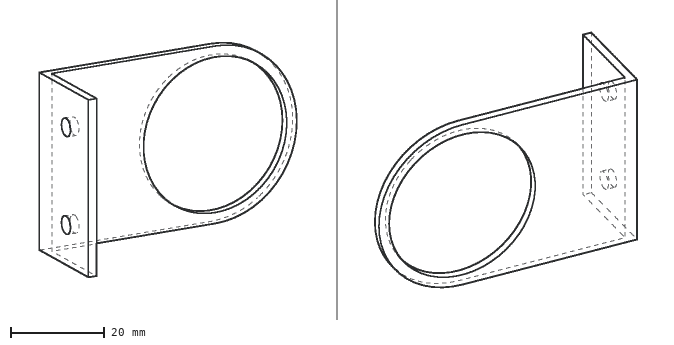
import cadquery as cq

length = 62.0
flange_width = 22.0
height = 40.0
thickness = 2.0
ring_hole_diameter = 35.0
screw_hole_diameter = 4.0
screw_hole_spacing = 22.0

end_radius = height / 2
ring_center_y = length - end_radius
screw_hole_x = (thickness + flange_width) / 2


def make_ring_plate():
    """Upright plate with a full-round end and a large concentric hole."""
    outline = (
        cq.Workplane("YZ")
        .moveTo(0, -end_radius)
        .lineTo(ring_center_y, -end_radius)
        .threePointArc((length, 0), (ring_center_y, end_radius))
        .lineTo(0, end_radius)
        .close()
    )
    ring_hole = (
        cq.Workplane("YZ")
        .center(ring_center_y, 0)
        .circle(ring_hole_diameter / 2)
        .extrude(thickness)
    )
    return outline.extrude(thickness).cut(ring_hole)


def make_flange():
    """Mounting flange along X with two screw holes, one above the other."""
    flange = cq.Workplane("XY").box(flange_width, thickness, height, centered=(False, False, True))
    screw_holes = (
        cq.Workplane("XZ")
        .center(screw_hole_x, 0)
        .rarray(0.6, screw_hole_spacing, 1, 2)
        .circle(screw_hole_diameter / 2)
        .extrude(-thickness)
    )
    return flange.cut(screw_holes)


result = make_ring_plate().union(make_flange())